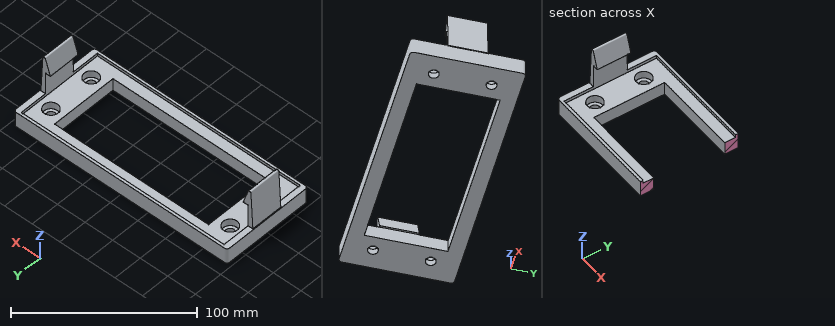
import cadquery as cq

length = 155.0
width = 64.0
base_height = 11.0
corner_radius = 2.0

end_rim = 4.0
side_rim = 1.9
recess_depth = 2.0
recess_floor = base_height - recess_depth

window_length = 111.6
window_width = 46.2

hole_spacing_x = 130.0
hole_spacing_y = 32.0
hole_diameter = 5.7
counterbore_diameter = 9.9
counterbore_depth = 5.0

total_height = 38.0
clip_width = 22.2
clip_root_offset = 0.5
clip_inner_offset = end_rim
barb_offset = 7.6
barb_height = 26.7
tip_outer_offset = 2.0
tip_inner_offset = 3.9
tip_radius = 0.8


def make_frame():
    frame = cq.Workplane("XY").box(length, width, base_height, centered=(True, True, False))
    frame = frame.edges("|Z").fillet(corner_radius)
    recess = (
        cq.Workplane("XY")
        .workplane(offset=recess_floor)
        .rect(length - 2 * end_rim, width - 2 * side_rim)
        .extrude(recess_depth)
    )
    window = cq.Workplane("XY").rect(window_length, window_width).extrude(base_height)
    return (
        frame.cut(recess)
        .cut(window)
        .copyWorkplane(cq.Workplane("XY", origin=(0, 0, recess_floor)))
        .rect(hole_spacing_x, hole_spacing_y, forConstruction=True)
        .vertices()
        .cboreHole(hole_diameter, counterbore_diameter, counterbore_depth)
    )


def make_left_clip():
    """Tapered arm on the end rim, with an inward barb and a rounded tip."""
    end_x = -length / 2
    profile = [
        (end_x + clip_root_offset, recess_floor),
        (end_x + tip_outer_offset, total_height),
        (end_x + tip_inner_offset, total_height),
        (end_x + barb_offset, barb_height),
        (end_x + clip_inner_offset, barb_height),
        (end_x + clip_inner_offset, recess_floor),
    ]
    clip = cq.Workplane("XZ").polyline(profile).close().extrude(clip_width / 2, both=True)
    return clip.faces(">Z").edges("|Y").fillet(tip_radius)


left_clip = make_left_clip()
right_clip = left_clip.mirror("YZ")
result = make_frame().union(left_clip).union(right_clip)